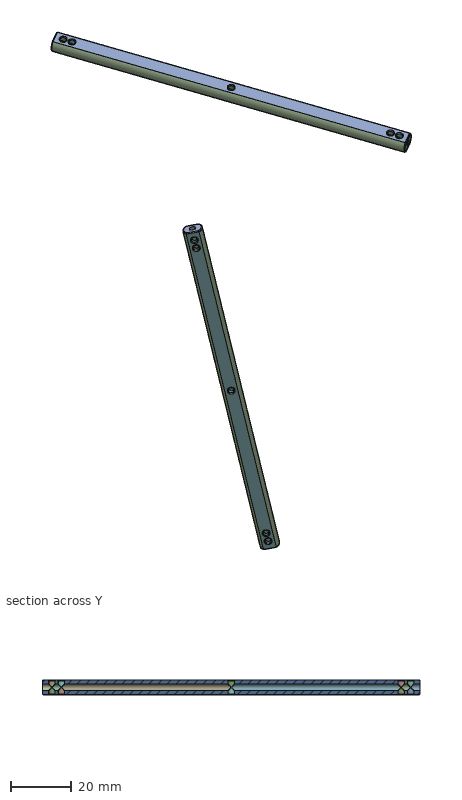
import cadquery as cq

length = 125.0
rod_diameter = 6.6
thickness_over_flats = 5.0

edge_chamfer = 0.31

hole_diameter = 2.0
end_hole_inset = 3.1
end_hole_pitch = 3.1


def make_bar():
    """Rod along X, flattened above and below and chamfered at both ends."""
    rod = cq.Workplane("YZ").circle(rod_diameter / 2).extrude(length / 2, both=True)
    slab = cq.Workplane("XY").box(length, rod_diameter, thickness_over_flats)
    return rod.intersect(slab).faces("<X or >X").chamfer(edge_chamfer)


def make_bore():
    """Axial hole running the whole length."""
    return cq.Workplane("YZ").circle(hole_diameter / 2).extrude(length / 2, both=True)


def make_cross_hole(x):
    """Hole through both flats at x, with a chamfered mouth on each flat."""
    flat = thickness_over_flats / 2
    hole_radius = hole_diameter / 2
    mouth_radius = hole_radius + edge_chamfer
    straight_end = flat - edge_chamfer
    half_section = [
        (0, -flat),
        (mouth_radius, -flat),
        (hole_radius, -straight_end),
        (hole_radius, straight_end),
        (mouth_radius, flat),
        (0, flat),
    ]
    hole = cq.Workplane("XZ").polyline(half_section).close().revolve(360, (0, 0, 0), (0, 1, 0))
    return hole.translate((x, 0, 0))


outer_x = length / 2 - end_hole_inset
inner_x = outer_x - end_hole_pitch

result = make_bar().cut(make_bore())
for hole_x in (-outer_x, -inner_x, 0, inner_x, outer_x):
    result = result.cut(make_cross_hole(hole_x))